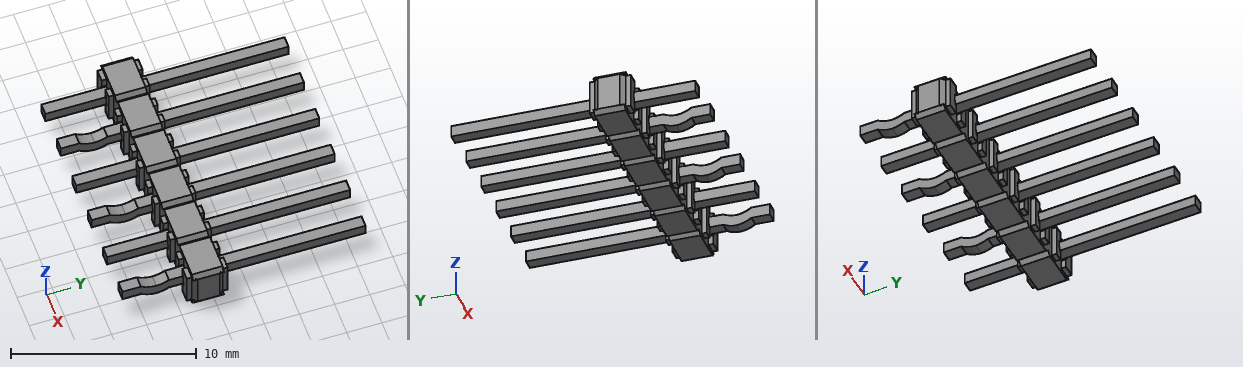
import cadquery as cq

PIN_COUNT = 6
BODY_LENGTH = 15.24
PITCH = BODY_LENGTH / PIN_COUNT
PIN_SIZE = 0.67
PIN_FRONT_Y = -4.59
PIN_BACK_Y = 9.25

BODY_DEPTH = 1.75
BODY_HEIGHT = 2.48
CHAMFER = 0.25
END_FLAT_HEIGHT = BODY_HEIGHT - 2 * CHAMFER

RIB_PROJECTION = 0.29
RIB_INNER_X = 0.32
RIB_OUTER_X = 0.82
RIB_END_X = PITCH / 2 - CHAMFER
RIB_HEIGHT = END_FLAT_HEIGHT

RELIEF_REACH = 0.49
RELIEF_HEIGHT = 0.87

KINK_START_Y = -1.94
KINK_APEX_Y = -2.67
KINK_END_Y = -3.54
KINK_DIP = 0.2
KINK_TIP_RISE = 0.1
KINK_RADIUS = 1.68

END_X = BODY_LENGTH / 2
FACE_Y = BODY_DEPTH / 2


def box_between(x_range, y_range, z_range):
    """Box spanning the given (low, high) ranges."""
    sizes = [high - low for low, high in (x_range, y_range, z_range)]
    corner = (x_range[0], y_range[0], z_range[0])
    return cq.Workplane("XY").box(*sizes, centered=False).translate(corner)


def pin_x(index):
    """X of a pin's centre."""
    return (index - (PIN_COUNT - 1) / 2) * PITCH


def make_body():
    """Row of bevelled cells with V notches between them."""
    cell = cq.Workplane("XY").box(PITCH, BODY_DEPTH, BODY_HEIGHT).edges("|Y").chamfer(CHAMFER)
    body = cell.translate((pin_x(0), 0, 0))
    for index in range(1, PIN_COUNT):
        body = body.union(cell.translate((pin_x(index), 0, 0)))
    return body


def cut_end_corners(body):
    """Bevel the four upright end corners over the height of the flat end faces."""
    for x_side in (-1, 1):
        for y_side in (-1, 1):
            corner_x = x_side * END_X
            corner_y = y_side * FACE_Y
            bevel = (
                cq.Workplane("XY")
                .moveTo(corner_x, corner_y)
                .lineTo(corner_x - x_side * CHAMFER, corner_y)
                .lineTo(corner_x, corner_y - y_side * CHAMFER)
                .close()
                .extrude(END_FLAT_HEIGHT / 2, both=True)
            )
            body = body.cut(bevel)
    return body


def make_ribs(index):
    """Four ribs around one pin, hollowed by a shallow arc where they face the pin."""
    left_outer = RIB_END_X if index == 0 else RIB_OUTER_X
    right_outer = RIB_END_X if index == PIN_COUNT - 1 else RIB_OUTER_X
    depth = BODY_DEPTH + 2 * RIB_PROJECTION
    y_range = (-depth / 2, depth / 2)
    z_range = (-RIB_HEIGHT / 2, RIB_HEIGHT / 2)
    ribs = box_between((-left_outer, -RIB_INNER_X), y_range, z_range)
    ribs = ribs.union(box_between((RIB_INNER_X, right_outer), y_range, z_range))
    relief = (
        cq.Workplane("XZ")
        .moveTo(-RIB_INNER_X, -RELIEF_HEIGHT / 2)
        .threePointArc((-RELIEF_REACH, 0), (-RIB_INNER_X, RELIEF_HEIGHT / 2))
        .lineTo(RIB_INNER_X, RELIEF_HEIGHT / 2)
        .threePointArc((RELIEF_REACH, 0), (RIB_INNER_X, -RELIEF_HEIGHT / 2))
        .close()
        .extrude(depth / 2, both=True)
    )
    return ribs.cut(relief).translate((pin_x(index), 0, 0))


def make_straight_pin():
    """Plain square pin."""
    half = PIN_SIZE / 2
    return box_between((-half, half), (PIN_FRONT_Y, PIN_BACK_Y), (-half, half))


def make_kinked_pin():
    """Pin whose front leg dips in two arcs and ends in a raised tip."""
    half = PIN_SIZE / 2
    return (
        cq.Workplane("YZ")
        .moveTo(PIN_BACK_Y, half)
        .lineTo(KINK_START_Y, half)
        .radiusArc((KINK_APEX_Y, half - KINK_DIP), KINK_RADIUS)
        .radiusArc((KINK_END_Y, half + KINK_TIP_RISE), KINK_RADIUS)
        .lineTo(PIN_FRONT_Y, half + KINK_TIP_RISE)
        .lineTo(PIN_FRONT_Y, -half + KINK_TIP_RISE)
        .lineTo(KINK_END_Y, -half + KINK_TIP_RISE)
        .radiusArc((KINK_APEX_Y, -half - KINK_DIP), -KINK_RADIUS)
        .radiusArc((KINK_START_Y, -half), -KINK_RADIUS)
        .lineTo(PIN_BACK_Y, -half)
        .close()
        .extrude(half, both=True)
    )


result = cut_end_corners(make_body())
for pin_index in range(PIN_COUNT):
    pin = make_kinked_pin() if pin_index % 2 else make_straight_pin()
    result = result.union(make_ribs(pin_index))
    result = result.union(pin.translate((pin_x(pin_index), 0, 0)))